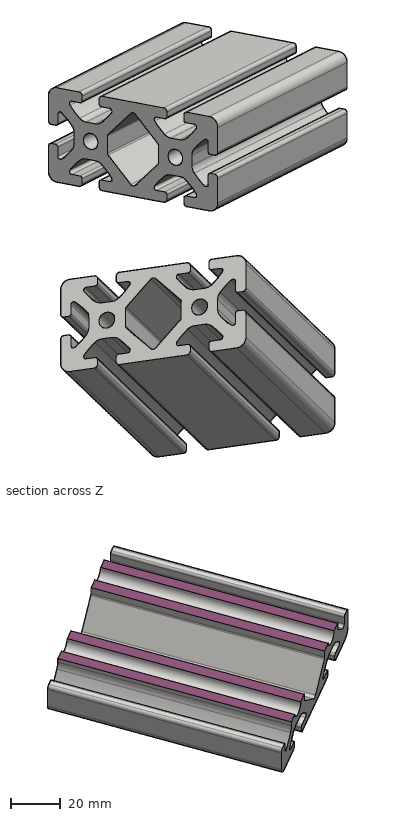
import cadquery as cq
import math

cell = 40.0
length = 100.0
width = 2 * cell
half_cell = cell / 2
corner_radius = 4.0
cell_centers = (-half_cell, half_cell)

opening_half_width = 4.0
lip_thickness = 4.5
floor_distance = 7.8
floor_half_width = 3.8
undercut_half_width = 11.1
slope_bulge = 0.4
lip_outer_radius = 1.5
lip_inner_radius = 1.0
undercut_radius = 1.1
floor_radius = 4.7

cavity_wall_distance = 8.0
cavity_offset = 3.9
cavity_tip_radius = 1.5
cavity_side_radius = 1.0

bore_diameter = 6.8


def round_edges(body, points, radius):
    """Round the lengthwise edges that pass through the given X-Z points."""
    for x, z in points:
        body = body.edges(cq.selectors.NearestToPointSelector((x, 0, z))).fillet(radius)
    return body


def mirrored(x, z):
    """The point and its mirror image across the centre plane."""
    return [(-x, z), (x, z)]


def slot_cutter():
    """T-slot opening upward in a cell centred on the origin, with gently bulging sloped sides."""
    lip_bottom = half_cell - lip_thickness
    slope_run = undercut_half_width - floor_half_width
    slope_rise = lip_bottom - floor_distance
    slope_length = math.hypot(slope_run, slope_rise)
    bulge_x = (floor_half_width + undercut_half_width) / 2 + slope_bulge * slope_rise / slope_length
    bulge_z = (floor_distance + lip_bottom) / 2 - slope_bulge * slope_run / slope_length
    cutter = (
        cq.Workplane("XZ")
        .moveTo(-floor_half_width, floor_distance)
        .lineTo(floor_half_width, floor_distance)
        .threePointArc((bulge_x, bulge_z), (undercut_half_width, lip_bottom))
        .lineTo(opening_half_width, lip_bottom)
        .lineTo(opening_half_width, half_cell)
        .lineTo(-opening_half_width, half_cell)
        .lineTo(-opening_half_width, lip_bottom)
        .lineTo(-undercut_half_width, lip_bottom)
        .threePointArc((-bulge_x, bulge_z), (-floor_half_width, floor_distance))
        .close()
        .extrude(length / 2, both=True)
    )
    cutter = round_edges(cutter, mirrored(floor_half_width, floor_distance), floor_radius)
    cutter = round_edges(cutter, mirrored(undercut_half_width, lip_bottom), undercut_radius)
    return round_edges(cutter, mirrored(opening_half_width, lip_bottom), lip_inner_radius)


def cavity_cutter():
    """Six-sided cavity between the two cells, pointed at the top and bottom."""
    side_x = half_cell - cavity_wall_distance
    side_z = cavity_wall_distance - cavity_offset
    tip_z = half_cell - cavity_offset
    outline = [
        (0, tip_z), (side_x, side_z), (side_x, -side_z),
        (0, -tip_z), (-side_x, -side_z), (-side_x, side_z),
    ]
    cavity = cq.Workplane("XZ").polyline(outline).close().extrude(length / 2, both=True)
    cavity = round_edges(cavity, [(0, tip_z), (0, -tip_z)], cavity_tip_radius)
    return round_edges(cavity, mirrored(side_x, side_z) + mirrored(side_x, -side_z), cavity_side_radius)


def place_slot(slot, angle, center_x):
    """Turn the slot about the Y axis and move it to the cell centre."""
    return slot.rotate((0, 0, 0), (0, 1, 0), angle).translate((center_x, 0, 0))


profile = cq.Workplane("XY").box(width, length, cell).edges("|Y").fillet(corner_radius)

slot = slot_cutter()
for center_x in cell_centers:
    outward_angle = 90 if center_x > 0 else -90
    for angle in (0, 180, outward_angle):
        profile = profile.cut(place_slot(slot, angle, center_x))

for center_x in cell_centers:
    for face_z in (-half_cell, half_cell):
        lip_edges = mirrored(opening_half_width, face_z)
        profile = round_edges(profile, [(center_x + x, z) for x, z in lip_edges], lip_outer_radius)
for end_x in (-width / 2, width / 2):
    lip_edges = [(end_x, -opening_half_width), (end_x, opening_half_width)]
    profile = round_edges(profile, lip_edges, lip_outer_radius)

profile = profile.cut(cavity_cutter())

bore = cq.Workplane("XZ").circle(bore_diameter / 2).extrude(length / 2, both=True)
for center_x in cell_centers:
    profile = profile.cut(bore.translate((center_x, 0, 0)))

result = profile